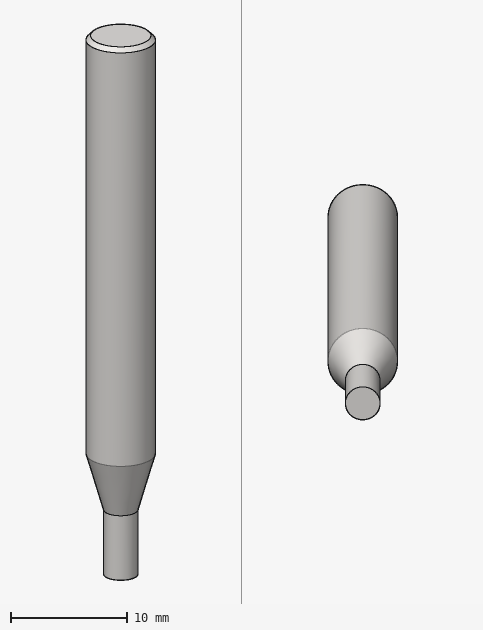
import cadquery as cq

total_length = 50.0
shank_diameter = 6.0
tip_diameter = 3.0
tip_length = 6.0
cone_top_height = 11.2
end_chamfer = 0.4

shank_radius = shank_diameter / 2
tip_radius = tip_diameter / 2


def make_shank():
    """Revolve the round shank with its tapered neck and chamfered upper end."""
    return (
        cq.Workplane("XZ")
        .moveTo(0, tip_length)
        .lineTo(tip_radius, tip_length)
        .lineTo(shank_radius, cone_top_height)
        .lineTo(shank_radius, total_length - end_chamfer)
        .lineTo(shank_radius - end_chamfer, total_length)
        .lineTo(0, total_length)
        .close()
        .revolve(360, (0, 0, 0), (0, 1, 0))
    )


def make_cutting_tip():
    """Build the plain cylinder that meets the small end of the neck."""
    return cq.Workplane("XY").circle(tip_radius).extrude(tip_length)


shank = make_shank()
cutting_tip = make_cutting_tip()

result = cq.Compound.makeCompound([shank.val(), cutting_tip.val()])